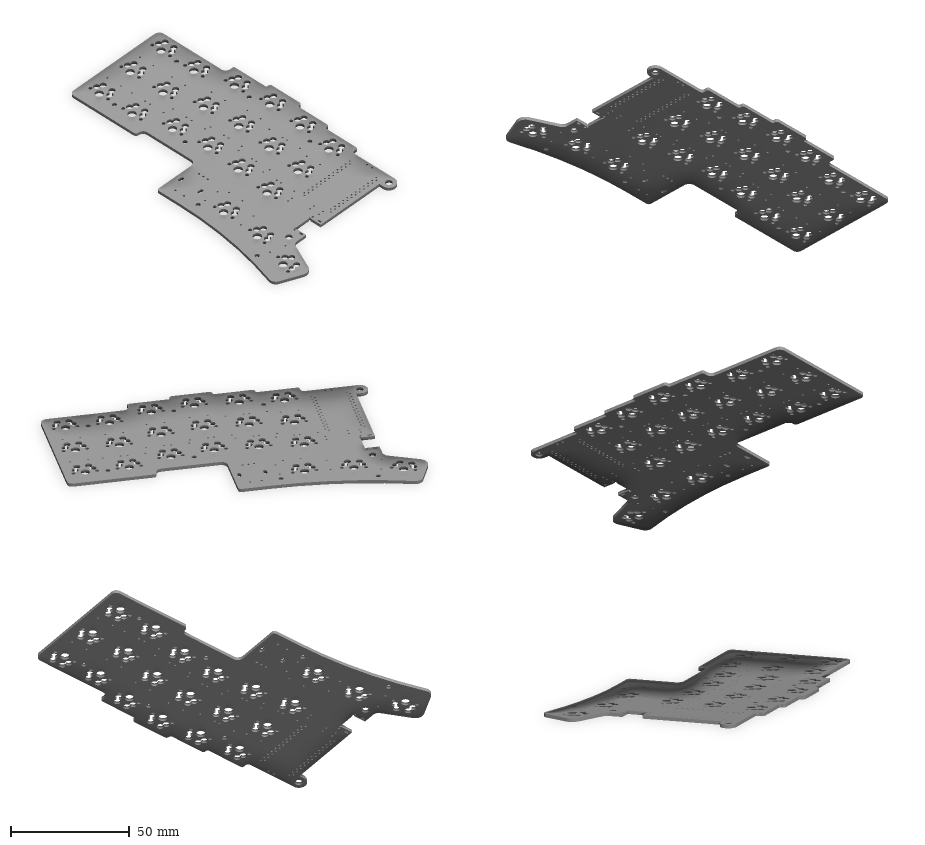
import cadquery as cq
import math

THICKNESS = 1.5

FIRST_COLUMN_X = 9.3
LAST_COLUMN_X = 104.4
COLUMN_BOTTOM_Y = [37.8, 37.8, 42.5, 44.1, 42.5, 40.1]
ROWS = 3
KEY_PITCH = (LAST_COLUMN_X - FIRST_COLUMN_X) / (len(COLUMN_BOTTOM_Y) - 1)
THUMB_KEYS = [(99.7, 18.4, 0), (120.7, 16.9, -10), (140.9, 11.2, -23)]

KEY_GRID = 1.28
CENTRE_POST_DIAMETER = 4.0
SIDE_POST_DIAMETER = 1.7
SIDE_POST_OFFSET = 4 * KEY_GRID
SOCKET_DIAMETER = 3.0
SOCKET_OFFSETS = [(2 * KEY_GRID, 4 * KEY_GRID), (3 * KEY_GRID, 2 * KEY_GRID)]

DIODE_PITCH = 7.8
DIODE_DIAMETER = 0.85
DIODES = [
    (5.8, 66.5), (24.3, 66.5), (43.2, 71.0), (62.2, 72.8), (77.2, 70.4), (87.4, 70.4), (100.6, 68.5),
    (4.9, 47.5), (19.0, 47.5), (29.6, 47.5), (38.8, 52.0), (49.5, 52.0), (58.2, 54.4), (68.5, 54.4),
    (77.2, 51.5), (87.4, 51.5), (94.2, 48.6), (104.4, 48.6), (92.7, 29.2),
]
UPRIGHT_DIODES = [(88.9, 18.4, 0), (110.6, 17.5, 0), (131.6, 13.0, 14)]

HEADER_PINS = 12
HEADER_LENGTH = 28.0
HEADER_PITCH = HEADER_LENGTH / (HEADER_PINS - 1)
HEADER_DIAMETER = 0.8
HEADER_TOP_Y = 78.7
HEADER_X = [116.0, 131.3]
HEADER_STAGGER = 1.28

ENCODER_CENTRE = (77.8, 21.5)
ENCODER_SLOT_SPACING = 11.2
ENCODER_SLOT_WIDTH = 1.5
ENCODER_SLOT_LENGTH = 3.0
ENCODER_PIN_SPAN = 5.0
ENCODER_UPPER_ROW = 7.8
ENCODER_LOWER_ROW = -6.8
ENCODER_PIN_DIAMETER = 1.0

SCREW_DIAMETER = 2.1
SCREWS = [(18.8, 75.2), (18.8, 37.1), (56.8, 79.6), (56.8, 40.1), (95.0, 76.5), (88.6, 14.6), (129.2, 7.8)]
STANDOFF_DIAMETER = 3.2
TAB_CENTRE = (137.4, 80.1)
STANDOFFS = [TAB_CENTRE, (130.7, 25.7)]
LINK_DIAMETER = 0.85
LINKS = [(114.6, 44.7), (114.6, 42.3), (122.8, 82.0), (125.7, 82.0)]
JACK_PIN_DIAMETER = 0.8
JACK_PINS = [(x, y) for x in (124.8, 130.0) for y in (45.0, 47.4)]

RIGHT_EDGE_X = 135.1
NOTCH_X = 128.7
NOTCH_BOTTOM_Y = 31.6
NOTCH_TOP_Y = 40.6
NOTCH_RELIEF_DIAMETER = 0.8
LATCH_ROWS_Y = [30.7, 42.0]
LATCH_PIN_X = 129.2
LATCH_SLOT_X = 133.1
LATCH_PIN_DIAMETER = 1.0
LATCH_SLOT_LENGTH = 2.0
LATCH_SLOT_WIDTH = 0.85

TAB_WIDTH = 7.0
TAB_LENGTH = 15.2
TOP_RIGHT_Y = TAB_CENTRE[1] + TAB_WIDTH / 2
CORNERS = [
    (82.8, 9.5, 0),
    (69.3, 9.5, 1.4),
    (69.3, 33.6, 2.9),
    (38.6, 33.6, 2.5),
    (38.6, 29.5, 1.5),
    (0, 29.5, 2.3),
    (0, 84.5, 2.7),
    (38.8, 84.5, 2.6),
    (38.8, 89.4, 0.6),
    (57.6, 89.4, 0.6),
    (57.6, 91.6, 1.0),
    (76.0, 91.6, 1.2),
    (76.0, 89.4, 0.9),
    (94.0, 89.4, 0.9),
    (94.0, 87.1, 0.9),
    (112.8, 87.1, 0.8),
    (112.8, TOP_RIGHT_Y, 1.5),
    (RIGHT_EDGE_X, TOP_RIGHT_Y, 0),
    (RIGHT_EDGE_X, NOTCH_TOP_Y, 0),
    (NOTCH_X, NOTCH_TOP_Y, 0),
    (NOTCH_X, NOTCH_BOTTOM_Y, 0),
    (RIGHT_EDGE_X, NOTCH_BOTTOM_Y, 0),
    (RIGHT_EDGE_X, 24.2, 3.0),
    (153.2, 15.8, 4.0),
    (146.0, -0.8, 3.3),
    (142.9, 0.3, 0),
]
BOTTOM_ARC_POINT = (103.2, 8.5)


def toward(start, end, distance):
    """Point at a distance from start on the way to end."""
    share = distance / math.dist(start, end)
    return (start[0] + share * (end[0] - start[0]), start[1] + share * (end[1] - start[1]))


def add_round_corner(path, before, corner, after, radius):
    """Continue the path to a corner and round it with a tangent arc."""
    to_before = math.atan2(before[1] - corner[1], before[0] - corner[0])
    to_after = math.atan2(after[1] - corner[1], after[0] - corner[0])
    half_angle = math.acos(math.cos(to_before - to_after)) / 2
    setback = radius / math.tan(half_angle)
    arc_start = toward(corner, before, setback)
    arc_end = toward(corner, after, setback)
    chord_middle = toward(arc_start, arc_end, math.dist(arc_start, arc_end) / 2)
    arc_middle = toward(corner, chord_middle, radius / math.sin(half_angle) - radius)
    return path.lineTo(*arc_start).threePointArc(arc_middle, arc_end)


def make_plate():
    points = [(x, y) for x, y, _ in CORNERS]
    path = cq.Workplane("XY").moveTo(*points[0])
    for i in range(1, len(CORNERS)):
        radius = CORNERS[i][2]
        if radius > 0:
            path = add_round_corner(path, points[i - 1], points[i], points[i + 1], radius)
        else:
            path = path.lineTo(*points[i])
    return path.threePointArc(BOTTOM_ARC_POINT, points[0]).close().extrude(THICKNESS)


def rotated(x, y, degrees):
    angle = math.radians(degrees)
    return (x * math.cos(angle) - y * math.sin(angle), x * math.sin(angle) + y * math.cos(angle))


def round_block(points, diameter):
    return cq.Workplane("XY").pushPoints(points).circle(diameter / 2).extrude(THICKNESS)


def slot_block(points, length, width, degrees):
    return cq.Workplane("XY").pushPoints(points).slot2D(length, width, degrees).extrude(THICKNESS)


def key_positions():
    """Centre and rotation of every key."""
    keys = [
        (FIRST_COLUMN_X + column * KEY_PITCH, bottom_y + row * KEY_PITCH, 0)
        for column, bottom_y in enumerate(COLUMN_BOTTOM_Y)
        for row in range(ROWS)
    ]
    return keys + THUMB_KEYS


def key_points(offsets):
    """The offsets and their mirror images about the key's own Y axis, on every key."""
    points = []
    for key_x, key_y, turn in key_positions():
        for side in (-1, 1):
            for offset_x, offset_y in offsets:
                dx, dy = rotated(side * offset_x, offset_y, turn)
                points.append((key_x + dx, key_y + dy))
    return points


def diode_points():
    points = []
    for x, y in DIODES:
        points += [(x, y), (x + DIODE_PITCH, y)]
    for x, y, tilt in UPRIGHT_DIODES:
        dx, dy = rotated(0, DIODE_PITCH, -tilt)
        points += [(x, y), (x + dx, y + dy)]
    return points


def header_points():
    return [
        (x + shift, HEADER_TOP_Y - shift - pin * HEADER_PITCH)
        for x in HEADER_X
        for shift in (0, HEADER_STAGGER)
        for pin in range(HEADER_PINS)
    ]


def encoder_pin_points():
    """Three pins above the encoder and two below it."""
    centre_x, centre_y = ENCODER_CENTRE
    upper = [(centre_x + i * ENCODER_PIN_SPAN / 2, centre_y + ENCODER_UPPER_ROW) for i in (-1, 0, 1)]
    lower = [(centre_x + i * ENCODER_PIN_SPAN / 2, centre_y + ENCODER_LOWER_ROW) for i in (-1, 1)]
    return upper + lower


tab_middle = (TAB_CENTRE[0] - (TAB_LENGTH - TAB_WIDTH) / 2, TAB_CENTRE[1])
plate = make_plate().union(slot_block([tab_middle], TAB_LENGTH, TAB_WIDTH, 0))

plate = plate.cut(round_block([(x, y) for x, y, _ in key_positions()], CENTRE_POST_DIAMETER))
plate = plate.cut(round_block(key_points([(SIDE_POST_OFFSET, 0)]), SIDE_POST_DIAMETER))
for socket_offset in SOCKET_OFFSETS:
    plate = plate.cut(round_block(key_points([socket_offset]), SOCKET_DIAMETER))

plate = plate.cut(round_block(diode_points(), DIODE_DIAMETER))
plate = plate.cut(round_block(header_points(), HEADER_DIAMETER))
plate = plate.cut(round_block(LINKS, LINK_DIAMETER))
plate = plate.cut(round_block(JACK_PINS, JACK_PIN_DIAMETER))

plate = plate.cut(round_block(encoder_pin_points(), ENCODER_PIN_DIAMETER))
encoder_x, encoder_y = ENCODER_CENTRE
encoder_slots = [(encoder_x + side * ENCODER_SLOT_SPACING / 2, encoder_y) for side in (-1, 1)]
plate = plate.cut(slot_block(encoder_slots, ENCODER_SLOT_LENGTH, ENCODER_SLOT_WIDTH, 90))

plate = plate.cut(round_block(SCREWS, SCREW_DIAMETER))
plate = plate.cut(round_block(STANDOFFS, STANDOFF_DIAMETER))

notch_corners = [(NOTCH_X, NOTCH_BOTTOM_Y), (NOTCH_X, NOTCH_TOP_Y)]
plate = plate.cut(round_block(notch_corners, NOTCH_RELIEF_DIAMETER))
plate = plate.cut(round_block([(LATCH_PIN_X, y) for y in LATCH_ROWS_Y], LATCH_PIN_DIAMETER))
latch_slots = [(LATCH_SLOT_X, y) for y in LATCH_ROWS_Y]
plate = plate.cut(slot_block(latch_slots, LATCH_SLOT_LENGTH, LATCH_SLOT_WIDTH, 0))

result = plate